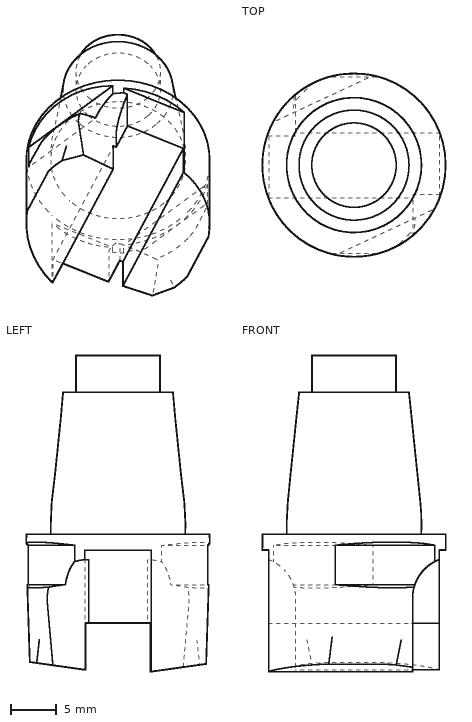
import cadquery as cq
import math

TOTAL_HEIGHT = 34.5
CONE_TOP = 30.5
CONE_BOTTOM = 18.5
BODY_TOP = 15.0

SPIGOT_RADIUS = 9.2 / 2
CONE_TOP_RADIUS = 6.0
CONE_BOTTOM_RADIUS = 7.25
NECK_RADIUS = 7.35
BODY_RADIUS = 10.0

FLAT_DISTANCE = 9.3
FLAT_TOP = 13.28
SLOT_HALF_WIDTH = 7.07 / 2
SLOT_TOP = 5.3

LEG_SLOPE = math.radians(8)
LEG_TIP_OFFSET = 0.2

FLUTE_FLOOR = 6.38
FLUTE_WALL = 3.17
FLUTE_RADIUS = 4.5
FLUTE_ARC_START = 8.05

POCKET_DISTANCE = 8.0
POCKET_ANGLE = -65.0
POCKET_BOTTOM = 9.52
POCKET_TOP = 13.8
POCKET_DRAFT = math.radians(10)

FRONT_FACET = (-90.0, 9.6, 1.9)
CORNER_FACET = (-45.0, 9.5, 3.6)
FACET_TOP = 10.35

CUT_MARGIN = 1.72
CUT_REACH = BODY_RADIUS + CUT_MARGIN


def turned_blank():
    """Spigot, cone, curved neck and cylindrical body revolved about Z."""
    profile = (
        cq.Workplane("XZ")
        .moveTo(0, 0)
        .lineTo(0, TOTAL_HEIGHT)
        .lineTo(SPIGOT_RADIUS, TOTAL_HEIGHT)
        .lineTo(SPIGOT_RADIUS, CONE_TOP)
        .lineTo(CONE_TOP_RADIUS, CONE_TOP)
        .lineTo(CONE_BOTTOM_RADIUS, CONE_BOTTOM)
        .tangentArcPoint((NECK_RADIUS, BODY_TOP), relative=False)
        .lineTo(BODY_RADIUS, BODY_TOP)
        .lineTo(BODY_RADIUS, 0)
        .close()
    )
    return profile.revolve(360, (0, 0, 0), (0, 1, 0))


def radial_cut(outline, angle):
    """Straight prism with a (radius, height) outline, its normal turned to angle."""
    prism = outline.extrude(CUT_REACH, both=True)
    return prism.rotate((0, 0, 0), (0, 0, 1), angle)


def side_flat():
    corners = [
        (FLAT_DISTANCE, -CUT_MARGIN),
        (CUT_REACH, -CUT_MARGIN),
        (CUT_REACH, FLAT_TOP),
        (FLAT_DISTANCE, FLAT_TOP),
    ]
    return radial_cut(cq.Workplane("XZ").polyline(corners).close(), 0)


def cross_slot():
    return cq.Workplane("XY").box(2 * CUT_REACH, 2 * SLOT_HALF_WIDTH, 2 * SLOT_TOP)


def leg_end(side, tip_height):
    """Wedge that slopes the leg end upwards away from the slot."""
    rise = (CUT_REACH - SLOT_HALF_WIDTH) * math.tan(LEG_SLOPE)
    corners = [
        (side * SLOT_HALF_WIDTH, -CUT_MARGIN),
        (side * SLOT_HALF_WIDTH, tip_height),
        (side * CUT_REACH, tip_height + rise),
        (side * CUT_REACH, -CUT_MARGIN),
    ]
    outline = cq.Workplane("YZ").polyline(corners).close()
    return outline.extrude(CUT_REACH, both=True)


def chip_flute():
    """Quarter pocket on the +X, -Y side that runs out upwards along an arc."""
    arc_top = FLUTE_ARC_START + FLUTE_RADIUS
    arc_end = FLUTE_FLOOR + FLUTE_RADIUS
    outline = (
        cq.Workplane("XZ", origin=(0, -FLUTE_WALL, 0))
        .moveTo(FLUTE_FLOOR, -CUT_MARGIN)
        .lineTo(FLUTE_FLOOR, FLUTE_ARC_START)
        .radiusArc((arc_end, arc_top), FLUTE_RADIUS)
        .lineTo(arc_end, -CUT_MARGIN)
        .close()
    )
    return outline.extrude(CUT_REACH)


def side_pocket():
    """Pocket with an upright back wall and a floor and roof that flare outwards."""
    flare = (CUT_REACH - POCKET_DISTANCE) * math.tan(POCKET_DRAFT)
    corners = [
        (POCKET_DISTANCE, POCKET_BOTTOM),
        (CUT_REACH, POCKET_BOTTOM - flare),
        (CUT_REACH, POCKET_TOP + flare),
        (POCKET_DISTANCE, POCKET_TOP),
    ]
    return radial_cut(cq.Workplane("XZ").polyline(corners).close(), POCKET_ANGLE)


def relief_facet(angle, distance, tilt):
    """Tilted plane that relieves the lower part of the leg."""
    slope = math.tan(math.radians(tilt))
    corners = [
        (distance - CUT_MARGIN * slope, -CUT_MARGIN),
        (CUT_REACH, -CUT_MARGIN),
        (CUT_REACH, FACET_TOP),
        (distance + FACET_TOP * slope, FACET_TOP),
    ]
    return radial_cut(cq.Workplane("XZ").polyline(corners).close(), angle)


HALF_TURN = 180
paired_cuts = [
    side_flat(),
    chip_flute(),
    side_pocket(),
    relief_facet(*FRONT_FACET),
    relief_facet(*CORNER_FACET),
]

result = turned_blank()
for cut in paired_cuts:
    for turn in (0, HALF_TURN):
        result = result.cut(cut.rotate((0, 0, 0), (0, 0, 1), turn))

result = result.cut(cross_slot())
result = result.cut(leg_end(-1, 0))
result = result.cut(leg_end(1, LEG_TIP_OFFSET))